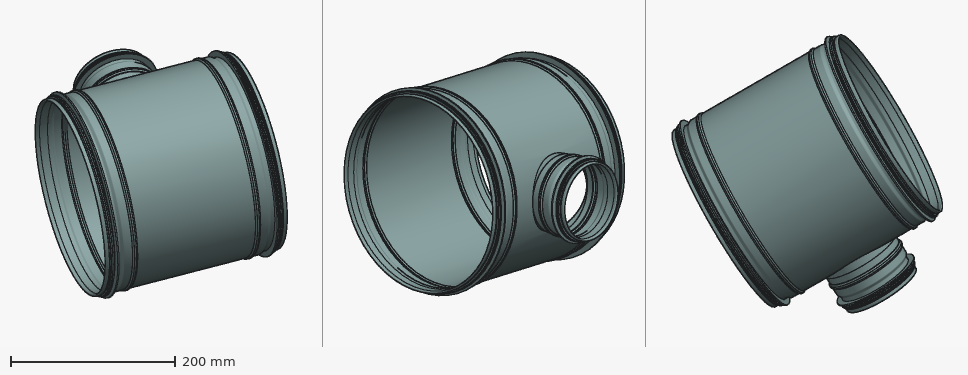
import cadquery as cq

overall_length = 306.5
drum_length = 237.0
drum_radius = 124.8
branch_diameter = 99.5
branch_radius = branch_diameter / 2
wall = 0.5
branch_gap = 0.5

groove_depth = 2.8
groove_floor_end = 21.2
groove_end = 24.8
groove_bend_radius = 1.8

hem_inset = 0.3
hem_length = 5.5
hem_outer_bend = (groove_depth + wall - hem_inset) / 2

bead_height = 1.7
bead_middle = 38.5
bead_half_base = 3.5
bead_half_crest = 1.2

seal_start = hem_length
seal_end = 16.0
sleeve_thickness = 1.5
stepped_lip_shoulder_height = 1.2
stepped_lip_height = 2.3
stepped_lip_start = 7.5
stepped_lip_tip_start = 9.2
stepped_lip_end = 11.0
upright_lip_height = 5.0
upright_lip_start = 13.0
upright_lip_tip_start = 14.0

neck_radius = 49.0
neck_insertion = 9.2

branch_end_x = drum_radius + upright_lip_height - overall_length
branch_length = -branch_end_x - drum_radius - branch_gap


def end_outline(radius):
    """Outer (radius, distance) points of a pipe end, from the hem to behind the bead."""
    floor_radius = radius - groove_depth
    crest_radius = radius + bead_height
    return [
        (floor_radius, hem_outer_bend),
        (floor_radius, groove_floor_end),
        (radius, groove_end),
        (radius, bead_middle - bead_half_base),
        (crest_radius, bead_middle - bead_half_crest),
        (crest_radius, bead_middle + bead_half_crest),
        (radius, bead_middle + bead_half_base),
    ]


def closed_outline(points):
    return cq.Wire.makePolygon([cq.Vector(radius, y) for radius, y in points], close=True)


def revolve_about_y(outline):
    """Ring about Y from a closed outline in the XY plane, with its radii along X."""
    return cq.Workplane("XY").add(outline).toPending().revolve(360, (0, 0), (0, 1))


def hem(radius):
    """Rolled hem about Y for a pipe of this radius whose end is at Y = 0."""
    outside = radius - hem_inset
    floor_outside = radius - groove_depth
    floor_inside = floor_outside - wall
    bend_centre_radius = (outside + floor_inside) / 2
    return (
        cq.Workplane("XY")
        .moveTo(outside, hem_length)
        .lineTo(outside, hem_outer_bend)
        .threePointArc((bend_centre_radius, 0), (floor_inside, hem_outer_bend))
        .lineTo(floor_outside, hem_outer_bend)
        .threePointArc((bend_centre_radius, wall), (outside - wall, hem_outer_bend))
        .lineTo(outside - wall, hem_length)
        .close()
        .revolve(360, (0, 0), (0, 1))
    )


def sheet_pipe(radius, length):
    """Thin pipe about Y from its hem bend to Y = length, whose inside follows its outside."""
    outer_points = end_outline(radius) + [(radius, length)]
    inner_points = [(point_radius - wall, y) for point_radius, y in reversed(outer_points)]
    sharp_outline = closed_outline(outer_points + inner_points)
    groove_bends = [
        vertex for vertex in sharp_outline.Vertices()
        if hem_outer_bend < vertex.Y < bead_middle - bead_half_base
    ]
    rounded_outline = sharp_outline.fillet2D(groove_bend_radius, groove_bends)
    return revolve_about_y(rounded_outline).union(hem(radius))


def seal(radius):
    """Seal about Y for a pipe of this radius whose end is at Y = 0."""
    inner_radius = radius - groove_depth
    sleeve_radius = inner_radius + sleeve_thickness
    shoulder_radius = radius + stepped_lip_shoulder_height
    stepped_tip_radius = radius + stepped_lip_height
    upright_tip_radius = radius + upright_lip_height
    return revolve_about_y(closed_outline([
        (inner_radius, seal_start),
        (sleeve_radius, seal_start),
        (sleeve_radius, stepped_lip_start),
        (shoulder_radius, stepped_lip_start),
        (shoulder_radius, stepped_lip_tip_start),
        (stepped_tip_radius, stepped_lip_tip_start),
        (stepped_tip_radius, stepped_lip_end),
        (sleeve_radius, stepped_lip_end),
        (sleeve_radius, upright_lip_start),
        (upright_tip_radius, upright_lip_tip_start),
        (upright_tip_radius, seal_end),
        (inner_radius, seal_end),
    ]))


def place_on_branch(body):
    """Turn a body built along +Y from the origin to run along +X from the branch end."""
    return body.rotate((0, 0, 0), (0, 0, 1), -90).translate((branch_end_x, 0, 0))


def branch_axis_cylinder(radius, start_x):
    """Cylinder on the branch axis from start_x to the drum axis."""
    return cq.Workplane("YZ").workplane(offset=start_x).circle(radius).extrude(-start_x)


def make_drum():
    """Pipe with two alike ends and a neck for the branch."""
    half_length = drum_length / 2
    front_half = sheet_pipe(drum_radius, half_length).translate((0, -half_length, 0))
    pipe = front_half.union(front_half.mirror("XZ"))

    neck_start_x = branch_end_x + branch_length - neck_insertion
    bore = cq.Workplane("XZ").circle(drum_radius - wall).extrude(half_length, both=True)
    neck = branch_axis_cylinder(neck_radius, neck_start_x).cut(bore)
    opening = branch_axis_cylinder(neck_radius - wall, neck_start_x)
    return pipe.union(neck).cut(opening)


def make_branch():
    """Pipe with one hemmed end; the other end stops just short of the drum."""
    return place_on_branch(sheet_pipe(branch_radius, branch_length))


drum = make_drum()
branch = make_branch()
front_seal = seal(drum_radius).translate((0, -drum_length / 2, 0))
drum_seals = [front_seal, front_seal.mirror("XZ")]
branch_seal = place_on_branch(seal(branch_radius))

result = cq.Compound.makeCompound([
    drum.val(),
    branch.val(),
    *[drum_seal.val() for drum_seal in drum_seals],
    branch_seal.val(),
])